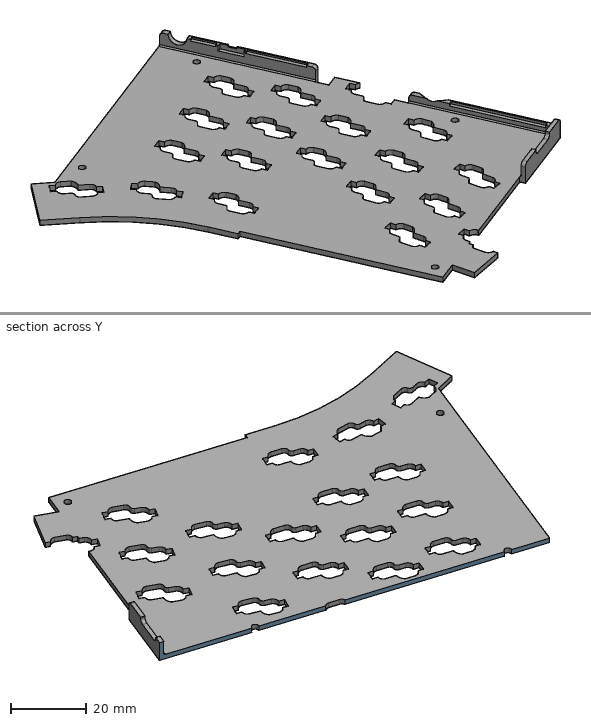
import cadquery as cq
import math


PLATE_THICKNESS = 1.7
PLATE_WIDTH = 112.8
PLATE_DEPTH = 75.0

COLUMN_PITCH = 18.1
ROW_PITCH = 17.0
PINKY_TILT = -10
FINGER_COLUMNS = [
    (24.7, 30.0, 0, 3),
    (42.7, 32.8, 0, 3),
    (60.7, 41.2, 0, 4),
    (79.1, 30.9, -4, 3),
    (96.3, 15.4, PINKY_TILT, 3),
]
OUTER_PINKY_RISE = 8.0
THUMB_SOCKETS = [(47.7, 12.1, 0), (26.5, 9.9, 15), (6.6, 2.4, 30)]

SOCKET_HALF_LENGTH = 7.0
LOBE_REACH = 5.3
LOBE_TOP_LEFT = 4.1
LOBE_BOTTOM_LEFT = -1.8
LOBE_TOP_RIGHT = 1.8
LOBE_BOTTOM_RIGHT = -4.0
PAD_TOP_LEFT = 2.5
PAD_BOTTOM_LEFT = -0.3
PAD_TOP_RIGHT = 0.4
PAD_BOTTOM_RIGHT = -2.4
LOBE_CORNER = 1.5
CORNER_TOP_LEFT = (-4.8, 3.5)
CORNER_BOTTOM_LEFT = (-4.8, -1.3)
CORNER_TOP_RIGHT = (4.8, 1.4)
CORNER_BOTTOM_RIGHT = (4.8, -3.4)
UPPER_WAIST_START_X = -1.0
UPPER_WAIST_MIDDLE = (0.1, 3.2)
UPPER_WAIST_END_X = 0.6
LOWER_WAIST_START_X = 0.5
LOWER_WAIST_HOLLOW = (-0.4, -3.5)
LOWER_WAIST_CENTRE = (-0.8, -2.8)
LOWER_WAIST_BULGE = (-1.0, -2.2)
LOWER_WAIST_END_X = -1.8

REAR_TAB_LEFT = 48.8
REAR_TAB_RIGHT = 58.5
REAR_TAB_END = 79.1
THUMB_TILT = 30
THUMB_TAB_CORNER_X = -5.5
THUMB_TAB_CORNER_Y = 0.1
THUMB_TAB_LENGTH = 18.0
FRONT_ARC_RADIUS = 66.1
FRONT_ARC_END = 45.9
FRONT_STEP_END = 54.6
FRONT_STEP = 1.3
PINKY_TAB_START_Y = 6.5
PINKY_TAB_LENGTH = 7.0
PINKY_TAB_WIDTH = 11.6

SCREW_DIAMETER = 2.0
SCREW_CENTRES = [(12.2, 72.0), (86.4, 72.0), (4.0, 12.7), (109.0, 3.8)]

WALL_GAP = 0.4
REAR_WALL_THICKNESS = 1.7
SIDE_WALL_THICKNESS = 1.3
WALL_CORNER = 1.1
REAR_WALL_INNER = PLATE_DEPTH + WALL_GAP
REAR_WALL_OUTER = REAR_WALL_INNER + REAR_WALL_THICKNESS
SIDE_WALL_INNER = PLATE_WIDTH + WALL_GAP
SIDE_WALL_OUTER = SIDE_WALL_INNER + SIDE_WALL_THICKNESS
LIP_THICKNESS = 0.5

LEFT_WALL_END = 44.9
LEFT_WALL_HEIGHT = 5.9
ROUND_NOTCH_X = 5.2
ROUND_NOTCH_RADIUS = 2.7
LEFT_LEDGES = [(8.9, 16.2), (24.8, 42.2)]
LEFT_LEDGE_DROP = 0.5
POCKET_SPAN = (16.9, 24.3)
POCKET_DROP = 1.7
POCKET_NOTCH_SPAN = (19.2, 21.8)
POCKET_NOTCH_DROP = 0.5

RIGHT_WALL_START = 71.6
RIGHT_WALL_HEIGHT = 4.1
RIGHT_LEDGE = (83.3, 110.9)
RIGHT_LEDGE_DROP = 0.8
CONE_X = 78.2
CONE_OUTER_DIAMETER = 9.0
CONE_INNER_DIAMETER = 4.8
CONE_AXIS_RISE = 1.9

SIDE_WALL_END_Y = 53.0
SIDE_WALL_HEIGHT = 6.2
SIDE_NOTCH_START = 60.4
SIDE_NOTCH_END = 69.7
SIDE_NOTCH_DROP = 1.7
SIDE_NOTCH_CORNER = 1.1


def box(x_span, y_span, z_span):
    size = [end - start for start, end in (x_span, y_span, z_span)]
    return cq.Workplane("XY").box(*size, centered=False).translate((x_span[0], y_span[0], z_span[0]))


def shifted(point, distance, angle):
    """Point moved a distance in the direction of an angle in degrees."""
    turn = math.radians(angle)
    return (point[0] + distance * math.cos(turn), point[1] + distance * math.sin(turn))


def plate_blank():
    """Main rectangle with the thumb, pinky and rear tabs."""
    thumb_corner = (THUMB_TAB_CORNER_X, THUMB_TAB_CORNER_Y)
    thumb_tip = shifted(thumb_corner, THUMB_TAB_LENGTH, THUMB_TILT - 90)
    thumb_top_y = THUMB_TAB_CORNER_Y - THUMB_TAB_CORNER_X * math.tan(math.radians(THUMB_TILT))
    arc_centre = (FRONT_ARC_END, -FRONT_STEP - FRONT_ARC_RADIUS)
    arc_start = shifted(arc_centre, FRONT_ARC_RADIUS, 90 + THUMB_TILT)
    arc_middle = shifted(arc_centre, FRONT_ARC_RADIUS, 90 + THUMB_TILT / 2)
    pinky_corner = (PLATE_WIDTH, PINKY_TAB_START_Y)
    pinky_front = shifted(pinky_corner, PINKY_TAB_LENGTH, PINKY_TILT)
    pinky_tip = shifted(pinky_front, PINKY_TAB_WIDTH, PINKY_TILT + 90)
    pinky_inner = shifted(pinky_tip, -PINKY_TAB_LENGTH, PINKY_TILT)
    return (
        cq.Workplane("XY")
        .moveTo(*thumb_corner)
        .lineTo(*thumb_tip)
        .lineTo(*arc_start)
        .threePointArc(arc_middle, (FRONT_ARC_END, -FRONT_STEP))
        .lineTo(FRONT_STEP_END, -FRONT_STEP)
        .lineTo(FRONT_STEP_END, 0)
        .lineTo(PLATE_WIDTH, 0)
        .lineTo(*pinky_corner)
        .lineTo(*pinky_front)
        .lineTo(*pinky_tip)
        .lineTo(PLATE_WIDTH, pinky_inner[1])
        .lineTo(PLATE_WIDTH, PLATE_DEPTH)
        .lineTo(REAR_TAB_RIGHT, PLATE_DEPTH)
        .lineTo(REAR_TAB_RIGHT, REAR_TAB_END)
        .lineTo(REAR_TAB_LEFT, REAR_TAB_END)
        .lineTo(REAR_TAB_LEFT, PLATE_DEPTH)
        .lineTo(0, PLATE_DEPTH)
        .lineTo(0, thumb_top_y)
        .close()
        .extrude(PLATE_THICKNESS)
    )


def socket_opening(x, y, tilt):
    """Two offset round-cornered lobes with a contact pad slot at each end."""
    lobe_shoulder = LOBE_REACH - LOBE_CORNER
    opening = (
        cq.Workplane("XY")
        .moveTo(-SOCKET_HALF_LENGTH, PAD_TOP_LEFT)
        .lineTo(-LOBE_REACH, PAD_TOP_LEFT)
        .threePointArc(CORNER_TOP_LEFT, (-lobe_shoulder, LOBE_TOP_LEFT))
        .lineTo(UPPER_WAIST_START_X, LOBE_TOP_LEFT)
        .threePointArc(UPPER_WAIST_MIDDLE, (UPPER_WAIST_END_X, LOBE_TOP_RIGHT))
        .lineTo(lobe_shoulder, LOBE_TOP_RIGHT)
        .threePointArc(CORNER_TOP_RIGHT, (LOBE_REACH, PAD_TOP_RIGHT))
        .lineTo(SOCKET_HALF_LENGTH, PAD_TOP_RIGHT)
        .lineTo(SOCKET_HALF_LENGTH, PAD_BOTTOM_RIGHT)
        .lineTo(LOBE_REACH, PAD_BOTTOM_RIGHT)
        .threePointArc(CORNER_BOTTOM_RIGHT, (lobe_shoulder, LOBE_BOTTOM_RIGHT))
        .lineTo(LOWER_WAIST_START_X, LOBE_BOTTOM_RIGHT)
        .threePointArc(LOWER_WAIST_HOLLOW, LOWER_WAIST_CENTRE)
        .threePointArc(LOWER_WAIST_BULGE, (LOWER_WAIST_END_X, LOBE_BOTTOM_LEFT))
        .lineTo(-lobe_shoulder, LOBE_BOTTOM_LEFT)
        .threePointArc(CORNER_BOTTOM_LEFT, (-LOBE_REACH, PAD_BOTTOM_LEFT))
        .lineTo(-SOCKET_HALF_LENGTH, PAD_BOTTOM_LEFT)
        .close()
        .extrude(PLATE_THICKNESS)
    )
    return opening.rotate((0, 0, 0), (0, 0, 1), tilt).translate((x, y, 0))


def socket_places():
    """Position and tilt of every socket."""
    places = list(THUMB_SOCKETS)
    for x, y, tilt, count in FINGER_COLUMNS:
        for row in range(count):
            places.append((*shifted((x, y), row * ROW_PITCH, tilt + 90), tilt))
    last_x, last_y, last_tilt, _ = FINGER_COLUMNS[-1]
    beside = shifted((last_x, last_y), COLUMN_PITCH, last_tilt)
    places.append((*shifted(beside, OUTER_PINKY_RISE, last_tilt + 90), last_tilt))
    return places


def rear_ledge(x_span, wall_height, drop):
    """Cutter that lowers the inner part of a rear wall and leaves an outer lip."""
    return box(x_span, (REAR_WALL_INNER, REAR_WALL_OUTER - LIP_THICKNESS), (wall_height - drop, wall_height))


def rear_wall(x_span, height):
    return box(x_span, (PLATE_DEPTH, REAR_WALL_OUTER), (0, PLATE_THICKNESS)).union(
        box(x_span, (REAR_WALL_INNER, REAR_WALL_OUTER), (0, height))
    )


def left_wall():
    wall = rear_wall((0, LEFT_WALL_END), LEFT_WALL_HEIGHT)
    wall = wall.faces(">Z").edges("|Y").fillet(WALL_CORNER)
    round_notch = (
        cq.Workplane("XZ", origin=(ROUND_NOTCH_X, REAR_WALL_OUTER, LEFT_WALL_HEIGHT))
        .circle(ROUND_NOTCH_RADIUS)
        .extrude(REAR_WALL_THICKNESS)
    )
    wall = wall.cut(round_notch)
    for span in LEFT_LEDGES:
        wall = wall.cut(rear_ledge(span, LEFT_WALL_HEIGHT, LEFT_LEDGE_DROP))
    wall = wall.cut(rear_ledge(POCKET_SPAN, LEFT_WALL_HEIGHT, POCKET_DROP))
    notch_z = (LEFT_WALL_HEIGHT - POCKET_NOTCH_DROP, LEFT_WALL_HEIGHT)
    return wall.cut(box(POCKET_NOTCH_SPAN, (REAR_WALL_INNER, REAR_WALL_OUTER), notch_z))


def right_wall():
    wall = rear_wall((RIGHT_WALL_START, SIDE_WALL_OUTER), RIGHT_WALL_HEIGHT)
    wall = wall.faces(">Z").edges("|Y and <X").fillet(WALL_CORNER)
    wall = wall.cut(rear_ledge(RIGHT_LEDGE, RIGHT_WALL_HEIGHT, RIGHT_LEDGE_DROP))
    cone = cq.Solid.makeCone(
        CONE_OUTER_DIAMETER / 2,
        CONE_INNER_DIAMETER / 2,
        REAR_WALL_THICKNESS,
        pnt=cq.Vector(CONE_X, REAR_WALL_OUTER, RIGHT_WALL_HEIGHT + CONE_AXIS_RISE),
        dir=cq.Vector(0, -1, 0),
    )
    return wall.cut(cq.Workplane(cone))


def side_wall():
    y_span = (SIDE_WALL_END_Y, REAR_WALL_OUTER)
    wall = box((SIDE_WALL_INNER, SIDE_WALL_OUTER), y_span, (0, SIDE_WALL_HEIGHT))
    wall = wall.faces(">Z").edges("|X").fillet(WALL_CORNER)
    notch = box(
        (SIDE_WALL_INNER, SIDE_WALL_OUTER),
        (SIDE_NOTCH_START, SIDE_NOTCH_END),
        (SIDE_WALL_HEIGHT - SIDE_NOTCH_DROP, SIDE_WALL_HEIGHT),
    )
    notch = notch.faces("<Z").edges("|X").fillet(SIDE_NOTCH_CORNER)
    foot = box((PLATE_WIDTH, SIDE_WALL_OUTER), y_span, (0, PLATE_THICKNESS))
    return wall.cut(notch).union(foot)


def bevel_profile(plane, origin):
    """Triangle on the plate top that fills the corner in front of a wall."""
    return (
        cq.Workplane(plane, origin=origin)
        .lineTo(WALL_GAP, 0)
        .lineTo(WALL_GAP, WALL_GAP)
        .close()
    )


def rear_bevel(x_start, x_end):
    return bevel_profile("YZ", (x_start, PLATE_DEPTH, PLATE_THICKNESS)).extrude(x_end - x_start)


def side_bevel():
    length = REAR_WALL_INNER - SIDE_WALL_END_Y
    return bevel_profile("XZ", (PLATE_WIDTH, REAR_WALL_INNER, PLATE_THICKNESS)).extrude(length)


result = plate_blank()
for place in socket_places():
    result = result.cut(socket_opening(*place))
screws = cq.Workplane("XY").pushPoints(SCREW_CENTRES).circle(SCREW_DIAMETER / 2).extrude(PLATE_THICKNESS)
result = result.cut(screws)
for piece in (
    left_wall(),
    rear_bevel(0, LEFT_WALL_END),
    right_wall(),
    rear_bevel(RIGHT_WALL_START, SIDE_WALL_INNER),
    side_wall(),
    side_bevel(),
):
    result = result.union(piece)